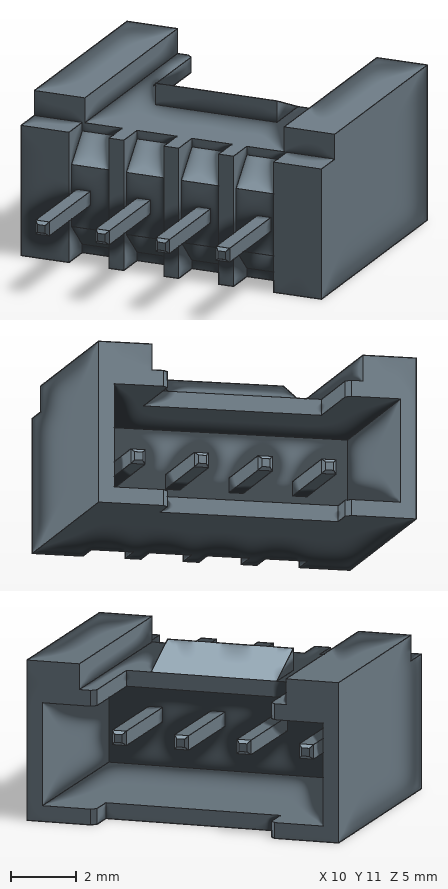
import cadquery as cq


overall_length = 11.0
housing_width = 10.0
housing_length = 8.0
housing_height = 4.2
mid_height = housing_height / 2

rail_top = 5.0
rail_width = 1.68
rail_setback = 1.0

cavity_wall = 0.5
cavity_front_wall = 1.6

window_width = 5.6
window_length = 3.0
floor_notch_length = 1.0
window_corner_chamfer = 0.15

ramp_width = 4.04
ramp_length = 1.6
ramp_rise = 0.69

pin_count = 4
pin_pitch = 2.0
pin_size = 0.45
pin_tip_chamfer = 0.1
pin_rear_gap = 2.8
pin_front = housing_length - overall_length

groove_end_width = 1.6
groove_rib_width = 0.5
groove_depth = rail_setback
groove_nose_setback = 0.2
groove_ledge = 0.28
groove_nose_start = 1.1
groove_span = housing_width - 2 * groove_end_width
groove_width = (groove_span - (pin_count - 1) * groove_rib_width) / pin_count


def block(x_range, y_range, z_range):
    """Axis-aligned box between the given pairs of limits."""
    size = [high - low for low, high in (x_range, y_range, z_range)]
    corner = (x_range[0], y_range[0], z_range[0])
    return cq.Workplane("XY").box(*size, centered=False).translate(corner)


def side_profile(points, x_center, width):
    """Prism of the given (Y, Z) outline, centred on x_center along X."""
    prism = cq.Workplane("YZ").polyline(points).close().extrude(width / 2, both=True)
    return prism.translate((x_center, 0, 0))


def row_offset(index, pitch):
    """X position of one member of the centred row of pins or grooves."""
    return (index - (pin_count - 1) / 2) * pitch


def make_housing():
    half_width = housing_width / 2
    housing = block((-half_width, half_width), (0, housing_length), (0, housing_height))
    rail_inner = half_width - rail_width
    rail_y = (rail_setback, housing_length)
    rail_z = (mid_height, rail_top)
    housing = housing.union(block((-half_width, -rail_inner), rail_y, rail_z))
    return housing.union(block((rail_inner, half_width), rail_y, rail_z))


def make_cavity():
    half_cavity = housing_width / 2 - cavity_wall
    return block(
        (-half_cavity, half_cavity),
        (cavity_front_wall, housing_length),
        (cavity_wall, housing_height - cavity_wall),
    )


def make_opening(length, z_range):
    """Rear notch in a cavity plate, flared at its two rear corners."""
    half_window = window_width / 2
    flared = half_window + window_corner_chamfer
    rear = housing_length
    flare_start = rear - window_corner_chamfer
    front = rear - length
    outline = [
        (-half_window, front),
        (half_window, front),
        (half_window, flare_start),
        (flared, rear),
        (-flared, rear),
        (-half_window, flare_start),
    ]
    bottom, top = z_range
    opening = cq.Workplane("XY").polyline(outline).close().extrude(top - bottom)
    return opening.translate((0, 0, bottom))


def make_ramp():
    rear = housing_length - window_length
    front = rear - ramp_length
    outline = [
        (rear, housing_height),
        (front, housing_height),
        (front, housing_height + ramp_rise),
    ]
    return side_profile(outline, 0, ramp_width)


def make_groove(x_center):
    """Groove whose back wall bulges forward into a flat nose around the pin."""
    outline = [
        (0, 0),
        (groove_depth, 0),
        (groove_depth, groove_ledge),
        (groove_nose_setback, groove_nose_start),
        (groove_nose_setback, housing_height - groove_nose_start),
        (groove_depth, housing_height - groove_ledge),
        (groove_depth, housing_height),
        (0, housing_height),
    ]
    return side_profile(outline, x_center, groove_width)


def make_pin(x_center):
    half_pin = pin_size / 2
    pin = block(
        (x_center - half_pin, x_center + half_pin),
        (pin_front, housing_length - pin_rear_gap),
        (mid_height - half_pin, mid_height + half_pin),
    )
    return pin.faces("<Y or >Y").chamfer(pin_tip_chamfer)


result = make_housing().cut(make_cavity())
result = result.cut(make_opening(window_length, (mid_height, housing_height)))
result = result.cut(make_opening(floor_notch_length, (0, mid_height)))
result = result.union(make_ramp())

groove_pitch = groove_width + groove_rib_width
for index in range(pin_count):
    result = result.cut(make_groove(row_offset(index, groove_pitch)))

for index in range(pin_count):
    result = result.union(make_pin(row_offset(index, pin_pitch)))